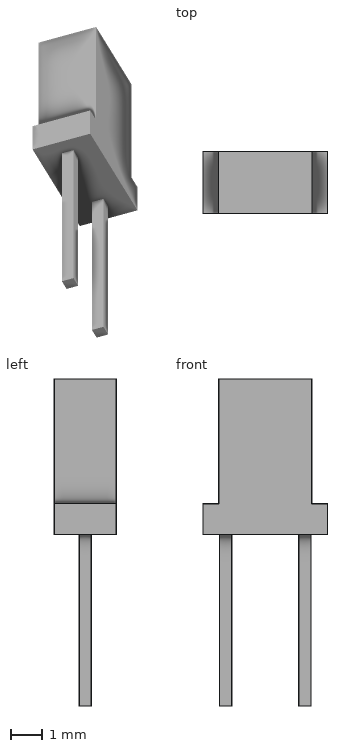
import cadquery as cq

body_depth = 2.0
flange_width = 4.0
flange_height = 1.0
lens_width = 3.0
lens_height = 4.0
lead_size = 0.4
lead_length = 5.5
lead_pitch = 2.54


def make_flange():
    return cq.Workplane("XY").rect(flange_width, body_depth).extrude(flange_height)


def make_lens():
    base = cq.Workplane("XY").workplane(offset=flange_height)
    return base.rect(lens_width, body_depth).extrude(lens_height)


def make_leads():
    centres = [(-lead_pitch / 2, 0), (lead_pitch / 2, 0)]
    return cq.Workplane("XY").pushPoints(centres).rect(lead_size, lead_size).extrude(-lead_length)


result = make_flange().union(make_lens()).union(make_leads()).clean()